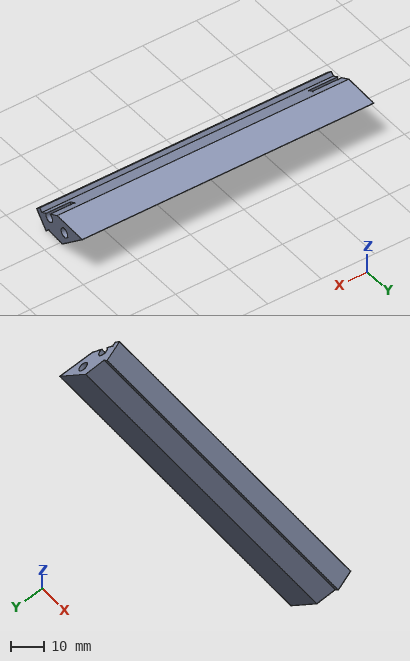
import cadquery as cq

length = 109.0
width = 23.7
height = 10.1

front_edge_z = 5.6
lip = (1.6, 7.0)
notch = (2.7, 5.9)
ridge_y = 10.7
back_edge_z = 9.5
base_back = (13.4, 0.7)
base_front = (6.1, 1.3)
toe_y = 4.9

bore_diameter = 3.4
through_bore_center = (14.4, 5.8)
groove_center = (6.5, 6.5)
left_groove_length = 10.9
right_groove_length = 9.2


def bar():
    """Constant-section bar with its profile in the YZ plane."""
    profile = [
        (0, front_edge_z),
        lip,
        notch,
        (ridge_y, height),
        (width, back_edge_z),
        base_back,
        base_front,
        (toe_y, 0),
    ]
    return cq.Workplane("YZ").polyline(profile).close().extrude(length)


def lengthwise_cylinder(center, start_x, cylinder_length):
    """Cylinder of the bore diameter, parallel to the bar."""
    return (
        cq.Workplane("YZ", origin=(start_x, 0, 0))
        .center(*center)
        .circle(bore_diameter / 2)
        .extrude(cylinder_length)
    )


through_bore = lengthwise_cylinder(through_bore_center, 0, length)
left_groove = lengthwise_cylinder(groove_center, 0, left_groove_length)
right_groove = lengthwise_cylinder(groove_center, length - right_groove_length, right_groove_length)

result = bar().cut(through_bore).cut(left_groove).cut(right_groove)